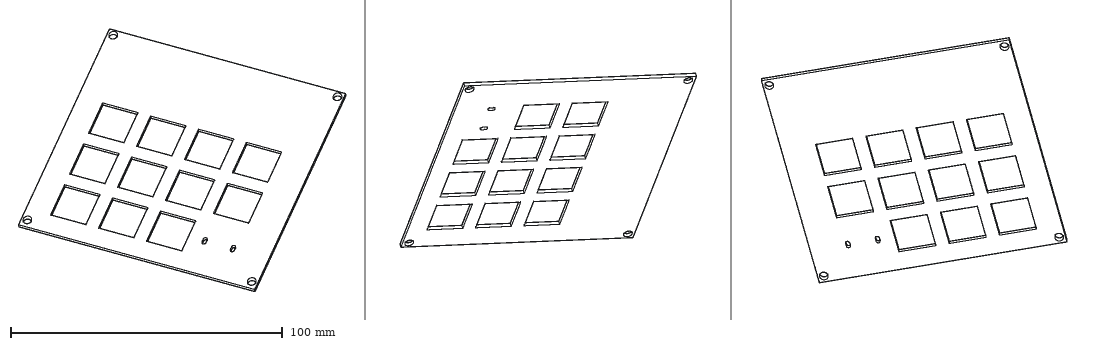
import cadquery as cq
import math

plate_width = 94.0
plate_length = 91.4
plate_thickness = 1.5
tilt_angle = 15.0

key_size = 14.0
key_pitch = 19.1
key_columns = 4
keys_per_row = [3, 4, 4]
first_column_x = -30.3
first_row_offset = 14.8

slot_width = 1.5
slot_length = 2.8
slot_spacing = 11.3
slot_drop = 0.3

screw_diameter = 3.2
screw_spacing_x = 89.3
screw_spacing_y = 83.2
screw_centre_y = 0.2

first_row_y = first_row_offset - plate_length / 2


def key_centre(column, row):
    """Centre of a key position in the plane of the untilted plate."""
    return (first_column_x + column * key_pitch, first_row_y + row * key_pitch)


def flat_plate():
    return cq.Workplane("XY").box(plate_width, plate_length, plate_thickness)


def cut_keys(plate):
    centres = [
        key_centre(column, row)
        for row, key_count in enumerate(keys_per_row)
        for column in range(key_count)
    ]
    openings = (
        cq.Workplane("XY")
        .pushPoints(centres)
        .rect(key_size, key_size)
        .extrude(plate_thickness, both=True)
    )
    return plate.cut(openings)


def cut_slots(plate):
    missing_key_x, missing_key_y = key_centre(key_columns - 1, 0)
    slots = (
        cq.Workplane("XY")
        .center(missing_key_x, missing_key_y - slot_drop)
        .rarray(slot_spacing, 0.9, 2, 1)
        .slot2D(slot_length, slot_width, angle=90)
        .extrude(plate_thickness, both=True)
    )
    return plate.cut(slots)


def cut_screw_holes(tilted_plate):
    reach = plate_length * math.sin(math.radians(tilt_angle))
    holes = (
        cq.Workplane("XY")
        .center(0, screw_centre_y)
        .rarray(screw_spacing_x, screw_spacing_y, 2, 2)
        .circle(screw_diameter / 2)
        .extrude(reach, both=True)
    )
    return tilted_plate.cut(holes)


panel = cut_slots(cut_keys(flat_plate()))
panel = panel.rotate((0, 0, 0), (1, 0, 0), tilt_angle)
result = cut_screw_holes(panel)